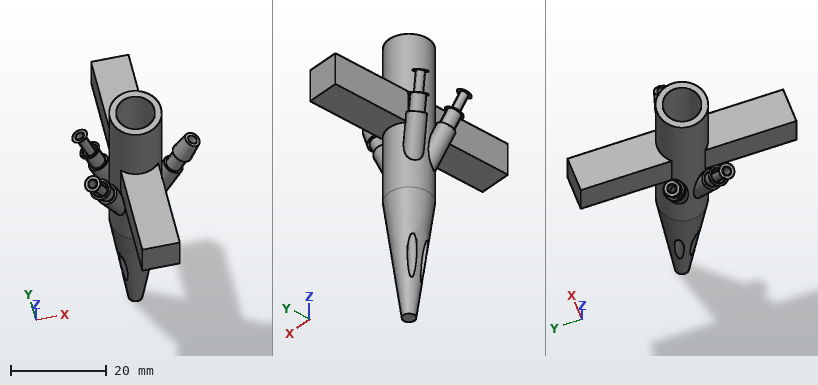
import cadquery as cq
import math

height = 70.0
body_radius = 11.0 / 2
cone_height = 30.1
tip_radius = 1.55
bore_top_radius = 4.05
bore_floor_radius = 3.65
bore_floor_z = 42.0

bar_length = 48.0
bar_side = 8.05
bar_bottom_z = 46.9

port_tilt = 26.5
port_origin_z = 31.1
sleeve_radius = 4.4 / 2
neck_radius = 3.4 / 2
channel_radius = 2.0 / 2
sleeve_start = 4.9
sleeve_end = 18.3
neck_end = 22.4
port_end = 27.4
barb_azimuth = 0.0
flanged_azimuths = (150.0, 210.0)

thin_wall = 0.15
flange_thickness = 0.1

outlet_tilt = 3.6
outlet_start_radius = 2.0
outlet_start_z = port_origin_z + outlet_start_radius / math.tan(math.radians(port_tilt))


def revolve_outline(points):
    """Revolve an (r, z) outline about the Z axis."""
    return cq.Workplane("XZ").polyline(points).close().revolve(360, (0, 0), (0, 1))


def rod(radius, start, end):
    """Cylinder on the Z axis between two heights."""
    return cq.Workplane("XY").workplane(offset=start).circle(radius).extrude(end - start)


def place_port(shape, azimuth):
    """Move a shape built on the Z axis onto the inclined axis of a port."""
    tilted = shape.rotate((0, 0, 0), (0, 1, 0), port_tilt)
    return tilted.rotate((0, 0, 0), (0, 0, 1), azimuth).translate((0, 0, port_origin_z))


def make_body():
    return revolve_outline([
        (0, 0), (tip_radius, 0), (body_radius, cone_height), (body_radius, height), (0, height),
    ])


def make_main_bore():
    return revolve_outline([
        (0, bore_floor_z), (bore_floor_radius, bore_floor_z), (bore_top_radius, height), (0, height),
    ])


def make_bar():
    bar = cq.Workplane("XY").box(bar_side, bar_length, bar_side, centered=(True, True, False))
    return bar.translate((0, 0, bar_bottom_z))


def make_barbed_port():
    """Sleeve and neck ending in a tapering hose barb."""
    return revolve_outline([
        (0, sleeve_start), (sleeve_radius, sleeve_start), (sleeve_radius, sleeve_end),
        (neck_radius, sleeve_end), (neck_radius, neck_end), (sleeve_radius, neck_end),
        (neck_radius, port_end), (0, port_end),
    ])


def make_flanged_port():
    """Sleeve and hollow neck around a slim tube, each with a thin end flange."""
    port = rod(sleeve_radius, sleeve_start, sleeve_end)
    port = port.union(rod(neck_radius, sleeve_end, neck_end))
    port = port.union(rod(sleeve_radius, neck_end - flange_thickness, neck_end))
    port = port.cut(rod(neck_radius - thin_wall, sleeve_end, neck_end))
    port = port.union(rod(channel_radius, sleeve_start, port_end))
    return port.union(rod(neck_radius, port_end - flange_thickness, port_end))


def make_outlet(azimuth):
    """Channel from the foot of a port down through the flank of the tip."""
    channel = rod(channel_radius, -outlet_start_z, 0)
    channel = channel.rotate((0, 0, 0), (0, 1, 0), -outlet_tilt)
    channel = channel.translate((outlet_start_radius, 0, outlet_start_z))
    return channel.rotate((0, 0, 0), (0, 0, 1), azimuth)


result = make_body().union(make_bar())
result = result.union(place_port(make_barbed_port(), barb_azimuth))
for port_azimuth in flanged_azimuths:
    result = result.union(place_port(make_flanged_port(), port_azimuth))

result = result.cut(make_main_bore())

result = result.cut(place_port(rod(channel_radius, 0, port_end), barb_azimuth))
outlet_junction = outlet_start_radius / math.sin(math.radians(port_tilt))
for port_azimuth in flanged_azimuths:
    port_bore = rod(channel_radius - thin_wall, outlet_junction, port_end)
    result = result.cut(place_port(port_bore, port_azimuth))
    result = result.cut(make_outlet(port_azimuth))